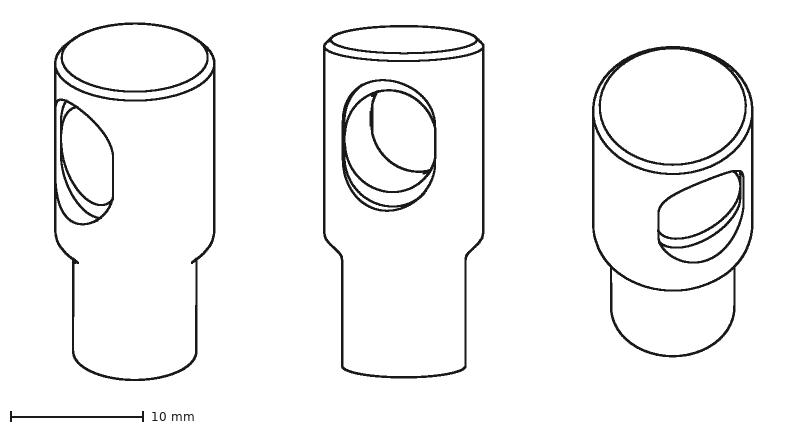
import cadquery as cq

total_height = 25.0
head_radius = 6.0
shank_radius = 4.65
top_chamfer = 0.5
shoulder_top = 9.88
shoulder_blend = 1.0

hole_height = 18.0
hole_radius = 3.58
flare_radius = 3.52
flare_tilt = 4.8

recess_height = 10.0
recess_floor = 4.25


def turned_body():
    """Head and shank joined by a 45 degree shoulder with blended edges."""
    shoulder_bottom = shoulder_top - (head_radius - shank_radius)
    body = (
        cq.Workplane("XZ")
        .moveTo(0, 0)
        .lineTo(shank_radius, 0)
        .lineTo(shank_radius, shoulder_bottom)
        .lineTo(head_radius, shoulder_top)
        .lineTo(head_radius, total_height)
        .lineTo(0, total_height)
        .close()
        .revolve(360, (0, 0), (0, 1))
    )
    shoulder_edges = cq.selectors.BoxSelector(
        (-head_radius, -head_radius, shoulder_bottom - shoulder_blend),
        (head_radius, head_radius, shoulder_top + shoulder_blend),
    )
    body = body.faces(">Z").edges().chamfer(top_chamfer)
    return body.edges("%CIRCLE").edges(shoulder_edges).fillet(shoulder_blend)


def cross_bore(radius, angle):
    """Through bore along Y, tilted by the angle about the X direction at the hole centre."""
    half_length = 2 * head_radius
    return (
        cq.Workplane("XZ", origin=(0, 0, hole_height))
        .circle(radius)
        .extrude(half_length, both=True)
        .rotate((0, 0, hole_height), (1, 0, hole_height), angle)
    )


def mouth_recess(side):
    """Upright slot with a flat floor; side is -1 or 1 along Y."""
    return (
        cq.Workplane("XZ", origin=(0, side * recess_floor, hole_height))
        .slot2D(recess_height, 2 * hole_radius, 90)
        .extrude(-side * head_radius)
    )


result = turned_body().cut(cross_bore(hole_radius, 0))
for direction in (-1, 1):
    result = result.cut(cross_bore(flare_radius, direction * flare_tilt))
    result = result.cut(mouth_recess(direction))